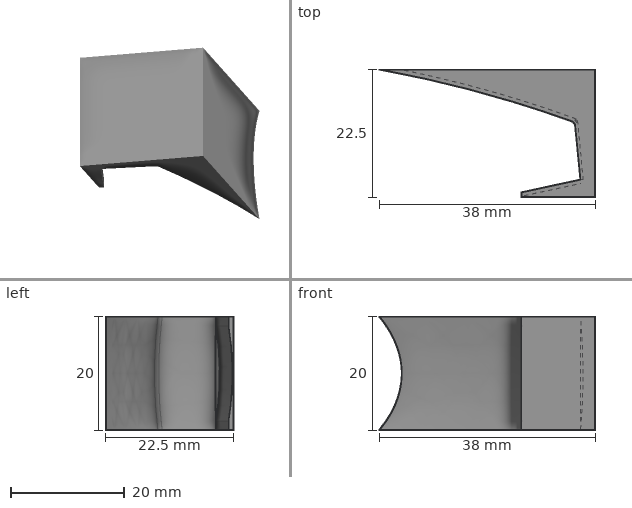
import cadquery as cq
import math

length = 38.0
depth = 22.45
height = 20.0
half_height = height / 2

lip_start_x = 25.0
lip_tip_thickness = 0.87
inner_corner_x = 35.35
inner_corner_y = 3.1
arm_root_x = 34.38
arm_root_y = 13.15
arm_mid_x = 18.3
arm_mid_y = 18.27
root_fillet = 0.87

arm_bow = 0.75
wall_bow = 0.45
root_bow = 0.6

overrun = 1.9
overrun_rise = 0.335

groove_radius = 53.2
groove_half_width = 8.35

lip_slope = (inner_corner_y - lip_tip_thickness) / (inner_corner_x - lip_start_x)


def cavity_section(z, arm_shift, wall_shift, root_shift):
    """Closed wire of the cavity at one height, with its surfaces shifted outwards."""
    arm_start = (-overrun, depth + overrun_rise + arm_shift)
    arm_mid = (arm_mid_x, arm_mid_y + arm_shift)
    root = (arm_root_x + wall_shift, arm_root_y + root_shift)
    corner = (inner_corner_x + wall_shift, inner_corner_y + lip_slope * wall_shift)
    slab_thickness = 0.38
    slab = (
        cq.Workplane("XY")
        .moveTo(*arm_start)
        .threePointArc(arm_mid, root)
        .lineTo(*corner)
        .lineTo(lip_start_x, lip_tip_thickness)
        .lineTo(lip_start_x, -overrun)
        .lineTo(-overrun, -overrun)
        .close()
        .extrude(slab_thickness)
        .edges(cq.selectors.NearestToPointSelector((*root, slab_thickness / 2)))
        .fillet(root_fillet)
    )
    return slab.faces("<Z").wires().val().translate(cq.Vector(0, 0, z))


def make_cavity():
    outer = (0, 0, 0)
    bowed = (arm_bow, wall_bow, root_bow)
    sections = [
        cavity_section(-half_height, *outer),
        cavity_section(0, *bowed),
        cavity_section(half_height, *outer),
    ]
    return cq.Workplane(cq.Solid.makeLoft(sections))


def make_lip_groove():
    """Cylinder parallel to the lip slope, limited to the span up to the inner corner."""
    slope_angle = math.atan(lip_slope)
    direction = cq.Vector(math.cos(slope_angle), math.sin(slope_angle), 0)
    normal = cq.Vector(-math.sin(slope_angle), math.cos(slope_angle), 0)
    axis_offset = math.sqrt(groove_radius**2 - groove_half_width**2)
    lip_tip = cq.Vector(lip_start_x, lip_tip_thickness, 0)
    axis_start = lip_tip + normal * axis_offset - direction * length
    cylinder = cq.Solid.makeCylinder(groove_radius, 2 * length, axis_start, direction)
    span_length = inner_corner_x - lip_start_x + overrun
    span = (
        cq.Workplane("XY")
        .box(span_length, inner_corner_y, height, centered=(False, False, True))
        .translate((lip_start_x - overrun, 0, 0))
    )
    return span.intersect(cq.Workplane(cylinder))


block = cq.Workplane("XY").box(length, depth, height, centered=(False, False, True))
result = block.cut(make_cavity()).cut(make_lip_groove())